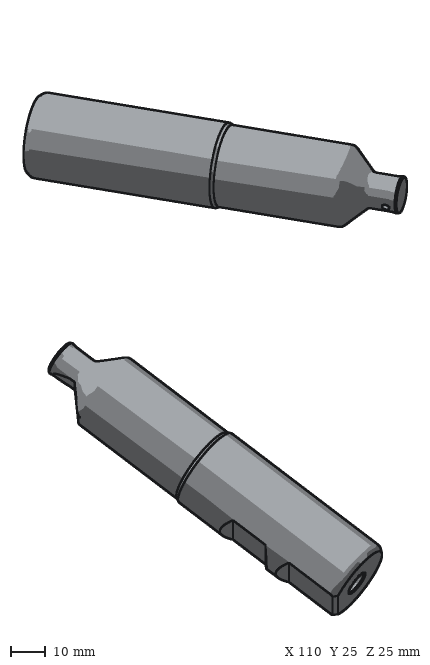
import cadquery as cq
import math

length = 110.0
shank_radius = 12.48
shank_length = 56.1
body_radius = 12.0
step_chamfer = 1.1
neck_radius = 5.22
neck_start = 100.8
cone_start = 93.7
collar_radius = 5.45
collar_start = 107.9
collar_taper_end = 109.5
tip_radius = 5.22
end_chamfer = 1.1
end_chamfer_length = 1.4
blend_radius = 1.6

flat_height = 9.8
flat_depth = shank_radius - flat_height
rear_flat_end = 17.3
notch_start = 26.0
notch_end = 38.0

relief_start = 78.1
relief_shoulder_height = 11.5
relief_neck_height = 4.2
relief_neck_start = cone_start + relief_shoulder_height - relief_neck_height
relief_neck_end = 102.8

bore_radius = 3.5
bore_depth = 11.0
bore_chamfer = 0.3
bore_tip_length = bore_radius / math.tan(math.radians(59))
channel_radius = 1.3
channel_offset = 1.6
outlet_x = 106.6
outlet_radius = 1.1
outlet_angle = 200.0


def along_x(plane_x, y=0.0):
    """Workplane facing +X, centred at the given X and Y."""
    return cq.Workplane("YZ", origin=(plane_x, y, 0))


def cutter_from_side(points):
    """Full-width prism of an outline in the XY plane."""
    return cq.Workplane("XY").polyline(points).close().extrude(shank_radius, both=True)


def turned_body():
    body = (
        cq.Workplane("XY")
        .moveTo(0, 0)
        .lineTo(0, shank_radius - end_chamfer)
        .lineTo(end_chamfer_length, shank_radius)
        .lineTo(shank_length, shank_radius)
        .lineTo(shank_length + step_chamfer, body_radius)
        .lineTo(cone_start, body_radius)
        .lineTo(neck_start, neck_radius)
        .lineTo(collar_start, neck_radius)
        .lineTo(collar_taper_end, collar_radius)
        .lineTo(length, tip_radius)
        .lineTo(length, 0)
        .close()
        .revolve(360, (0, 0, 0), (1, 0, 0))
    )
    for corner_x in (end_chamfer_length, cone_start, neck_start):
        near = cq.selectors.BoxSelector(
            (corner_x - 0.1, -length, -length), (corner_x + 0.1, length, length), boundingbox=True
        )
        body = body.edges(near).fillet(blend_radius)
    return body


def clamping_flats():
    rear = cutter_from_side([
        (0, flat_height - end_chamfer),
        (end_chamfer, flat_height),
        (rear_flat_end, flat_height),
        (rear_flat_end + flat_depth, shank_radius),
        (0, shank_radius),
    ])
    notch = cutter_from_side([
        (notch_start - flat_depth, shank_radius),
        (notch_start, flat_height),
        (notch_end, flat_height),
        (notch_end + flat_depth, shank_radius),
    ])
    return rear.union(notch)


def side_relief():
    return cutter_from_side([
        (relief_start, body_radius),
        (cone_start, relief_shoulder_height),
        (relief_neck_start, relief_neck_height),
        (relief_neck_end, relief_neck_height),
        (collar_taper_end, collar_radius),
        (collar_taper_end, body_radius),
    ])


def rear_bore():
    mouth_radius = bore_radius + bore_chamfer
    return (
        cq.Workplane("XY")
        .polyline([
            (0, 0),
            (0, mouth_radius),
            (bore_chamfer, bore_radius),
            (bore_depth, bore_radius),
            (bore_depth + bore_tip_length, 0),
        ])
        .close()
        .revolve(360, (0, 0, 0), (1, 0, 0))
    )


def coolant_passage():
    channel = along_x(bore_depth, channel_offset).circle(channel_radius).extrude(outlet_x - bore_depth)
    angle = math.radians(outlet_angle)
    direction = cq.Vector(0, math.cos(angle), math.sin(angle))
    start = cq.Vector(outlet_x, 0, 0) - direction * channel_offset
    outlet = cq.Solid.makeCylinder(outlet_radius, shank_radius, start, direction)
    return channel.union(cq.Workplane(outlet))


result = turned_body()
for cutter in (clamping_flats(), side_relief(), rear_bore(), coolant_passage()):
    result = result.cut(cutter)